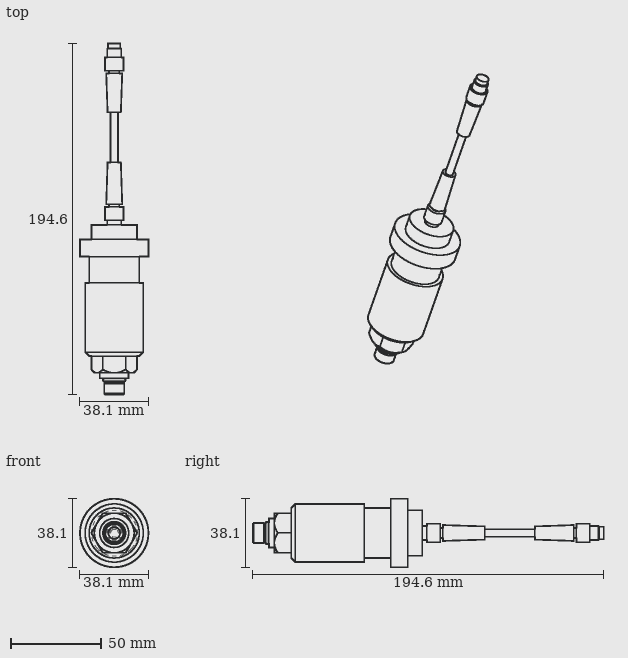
import cadquery as cq
import math

total_length = 194.64

thread_diameter = 11.3
thread_end = 6.7
thread_chamfer = 0.65
tip_recess_diameter = 6.5
tip_recess_depth = 0.1
groove_diameter = 10.0
ring_section_diameter = 1.8
groove_width = 2.3
shoulder_start = thread_end + groove_width
shoulder_diameter = 16.1
ring_center_y = shoulder_start - ring_section_diameter / 2
ring_outer_diameter = 12.6

hex_start = 12.0
hex_across_flats = 22.0
hex_across_corners = hex_across_flats / math.cos(math.pi / 6)
hex_chamfer_length = 2.2
hex_envelope_diameter = 26.0

body_start = 21.25
body_diameter = 32.3
body_chamfer = 2.25
body_end = 61.9
neck_diameter = 27.8
flange_start = 76.5
flange_diameter = 38.1
flange_end = 86.0
collar_diameter = 25.5
collar_end = 94.1

plug_stub_diameter = 8.0
plug_nut_diameter = 10.3
plug_nut_length = 7.6
plug_neck_diameter = 5.8
plug_neck_length = 1.35
boot_large_diameter = 9.0
boot_small_diameter = 7.5
cable_diameter = 4.4
near_nut_start = 96.5
near_boot_end = 128.7
far_boot_start = 156.5
far_nut_start = 179.4
far_stub_end = 192.1
far_stub_chamfer = 0.5
end_pin_diameter = 6.95


def frustum(start, end, start_diameter, end_diameter):
    """Round section along Y whose diameter changes evenly from start to end."""
    outline = [
        (0, start),
        (start_diameter / 2, start),
        (end_diameter / 2, end),
        (0, end),
    ]
    return cq.Workplane("XY").polyline(outline).close().revolve(360, (0, 0), (0, 1))


def rod(start, end, diameter):
    """Plain round section along Y."""
    return frustum(start, end, diameter, diameter)


def threaded_tip():
    """Chamfered cylinder with a shallow round recess, and a groove behind it holding the ring."""
    thread = rod(0, thread_end, thread_diameter).edges("%CIRCLE").chamfer(thread_chamfer)
    recess = rod(0, tip_recess_depth, tip_recess_diameter)
    groove = rod(thread_end, shoulder_start, groove_diameter)
    ring_center_radius = (ring_outer_diameter - ring_section_diameter) / 2
    ring = (
        cq.Workplane("XY")
        .center(ring_center_radius, ring_center_y)
        .circle(ring_section_diameter / 2)
        .revolve(360, (-ring_center_radius, 0), (-ring_center_radius, 1))
    )
    shoulder = rod(shoulder_start, hex_start, shoulder_diameter)
    return thread.cut(recess).union(groove).union(ring).union(shoulder)


def hex_nut():
    """Hexagon with two flats square to Z and its front corners turned off to a cone."""
    prism = (
        cq.Workplane("XZ", origin=(0, hex_start, 0))
        .polygon(6, hex_across_corners)
        .extrude(hex_start - body_start)
    )
    cone_end = hex_start + hex_chamfer_length
    cone = frustum(hex_start, cone_end, hex_across_flats, hex_envelope_diameter)
    envelope = cone.union(rod(cone_end, body_start, hex_envelope_diameter))
    return prism.intersect(envelope)


def main_body():
    """Large cylinder chamfered at the front, then neck, flange and collar."""
    cylinder = rod(body_start, body_end, body_diameter).edges("<Y").chamfer(body_chamfer)
    neck = rod(body_end, flange_start, neck_diameter)
    flange = rod(flange_start, flange_end, flange_diameter)
    collar = rod(flange_end, collar_end, collar_diameter)
    return cylinder.union(neck).union(flange).union(collar)


def near_plug():
    """Plug at the collar: stub, nut, neck and a boot narrowing toward the cable."""
    nut_end = near_nut_start + plug_nut_length
    boot_start = nut_end + plug_neck_length
    stub = rod(collar_end, near_nut_start, plug_stub_diameter)
    nut = rod(near_nut_start, nut_end, plug_nut_diameter)
    neck = rod(nut_end, boot_start, plug_neck_diameter)
    boot = frustum(boot_start, near_boot_end, boot_large_diameter, boot_small_diameter)
    return stub.union(nut).union(neck).union(boot)


def far_plug():
    """Plug at the free end: boot widening from the cable, neck, nut, chamfered stub and end pin."""
    boot_end = far_nut_start - plug_neck_length
    nut_end = far_nut_start + plug_nut_length
    boot = frustum(far_boot_start, boot_end, boot_small_diameter, boot_large_diameter)
    neck = rod(boot_end, far_nut_start, plug_neck_diameter)
    nut = rod(far_nut_start, nut_end, plug_nut_diameter)
    stub = rod(nut_end, far_stub_end, plug_stub_diameter).edges(">Y").chamfer(far_stub_chamfer)
    pin = rod(far_stub_end, total_length, end_pin_diameter)
    return boot.union(neck).union(nut).union(stub).union(pin)


cable = rod(near_boot_end, far_boot_start, cable_diameter)

result = (
    threaded_tip()
    .union(hex_nut())
    .union(main_body())
    .union(near_plug())
    .union(cable)
    .union(far_plug())
)